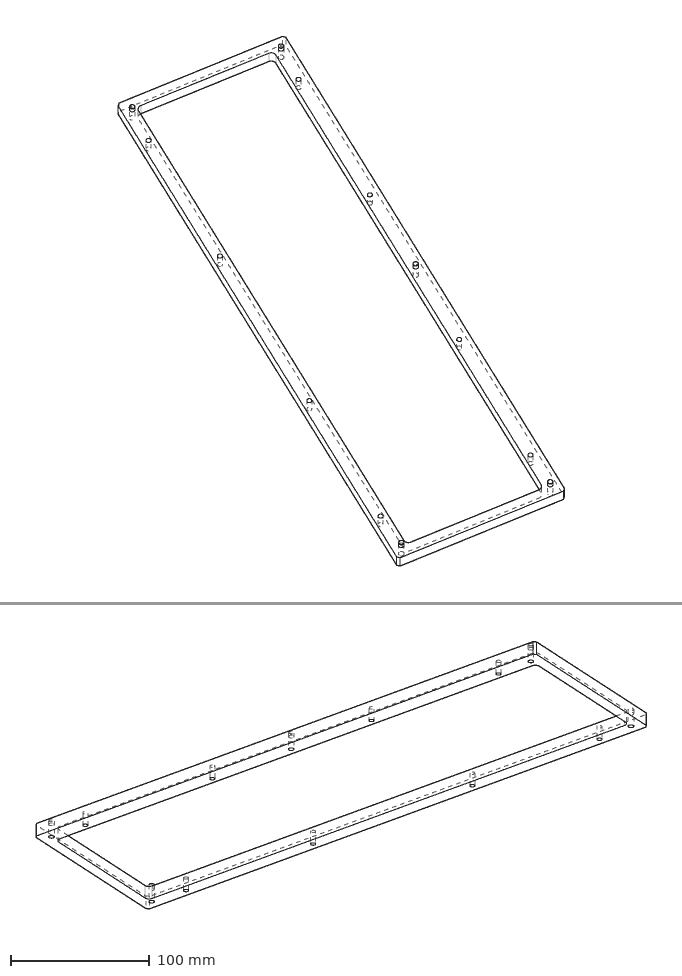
import cadquery as cq

length = 451.0
width = 135.5
frame_height = 10.5
corner_chamfer = 2.0

end_rail = 9.0
front_rail = 11.5
back_rail = 13.5
window_radius = 3.5

hole_diameter = 3.5
hole_inner_x = 71.5
hole_outer_x = 186.3
hole_front_y = -62.0
hole_back_y = 59.0

overall_height = 14.0
pin_diameter = 4.0
pin_end_x = 216.0
pin_y = 60.0
pin_chamfer = 0.23

pin_places = [
    (-pin_end_x, -pin_y),
    (pin_end_x, -pin_y),
    (-pin_end_x, pin_y),
    (0, pin_y),
    (pin_end_x, pin_y),
]
hole_places = [
    (x, y)
    for x in (-hole_outer_x, -hole_inner_x, hole_inner_x, hole_outer_x)
    for y in (hole_front_y, hole_back_y)
]


def make_window():
    """Rounded rectangular cutter for the opening, set slightly toward the front rail."""
    window_length = length - 2 * end_rail
    window_width = width - front_rail - back_rail
    window_y = (front_rail - back_rail) / 2
    return (
        cq.Workplane("XY")
        .center(0, window_y)
        .rect(window_length, window_width)
        .extrude(frame_height)
        .edges("|Z")
        .fillet(window_radius)
    )


def make_round_cutters(places, diameter):
    """Cylinders through the full frame height at the given places."""
    return cq.Workplane("XY").pushPoints(places).circle(diameter / 2).extrude(frame_height)


def make_frame():
    """Rectangular frame with chamfered corners, rail holes and pin holes."""
    blank = (
        cq.Workplane("XY")
        .rect(length, width)
        .extrude(frame_height)
        .edges("|Z")
        .chamfer(corner_chamfer)
    )
    return (
        blank.cut(make_window())
        .cut(make_round_cutters(hole_places, hole_diameter))
        .cut(make_round_cutters(pin_places, pin_diameter))
    )


def make_pin(x, y):
    """Round pin filling its hole and standing above the frame, chamfered on top."""
    return (
        cq.Workplane("XY")
        .center(x, y)
        .circle(pin_diameter / 2)
        .extrude(overall_height)
        .faces(">Z")
        .chamfer(pin_chamfer)
    )


frame = make_frame()
pins = [make_pin(x, y) for x, y in pin_places]

result = cq.Compound.makeCompound([frame.val(), *[pin.val() for pin in pins]])